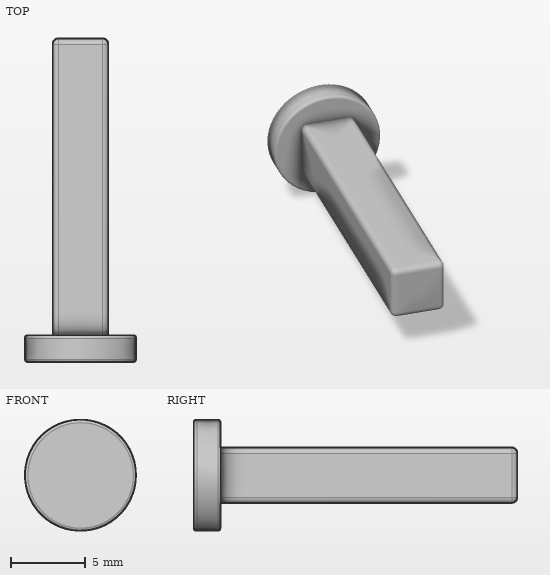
import cadquery as cq

total_length = 21.8
head_diameter = 7.5
head_thickness = 1.8

shank_width = head_diameter / 2
shank_length = total_length - head_thickness

head_fillet = 0.2
shank_fillet = 0.4


def make_head():
    """Round head from Y = 0 to Y = head_thickness, both rims rounded."""
    disc = cq.Workplane("XZ").circle(head_diameter / 2).extrude(-head_thickness)
    return disc.edges().fillet(head_fillet)


def make_shank():
    """Square bar along +Y with rounded long edges and a rounded free end."""
    bar = (
        cq.Workplane("XZ", origin=(0, head_thickness, 0))
        .rect(shank_width, shank_width)
        .extrude(-shank_length)
    )
    return bar.edges("|Y or >Y").fillet(shank_fillet)


result = make_head().union(make_shank())